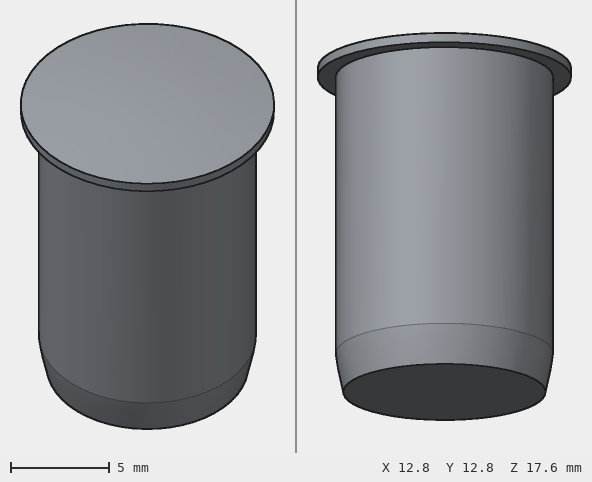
import cadquery as cq

total_height = 17.56
head_diameter = 12.8
body_diameter = 11.0

rim_thickness = 0.5
dome_height = 0.53

lead_in_height = 2.04
tip_diameter = 10.22
lead_in_bulge = 0.04

head_radius = head_diameter / 2
body_radius = body_diameter / 2
tip_radius = tip_diameter / 2
rim_top = total_height - dome_height
rim_bottom = rim_top - rim_thickness

dome_radius = (head_radius**2 + dome_height**2) / (2 * dome_height)
dome_mid_x = head_radius / 2
dome_mid_z = total_height - dome_radius + (dome_radius**2 - dome_mid_x**2) ** 0.5

lead_in_mid = ((tip_radius + body_radius) / 2 + lead_in_bulge, lead_in_height / 2)

half_section = (
    cq.Workplane("XZ")
    .lineTo(tip_radius, 0)
    .threePointArc(lead_in_mid, (body_radius, lead_in_height))
    .lineTo(body_radius, rim_bottom)
    .lineTo(head_radius, rim_bottom)
    .lineTo(head_radius, rim_top)
    .threePointArc((dome_mid_x, dome_mid_z), (0, total_height))
    .close()
)
result = half_section.revolve(360, (0, 0, 0), (0, 1, 0))